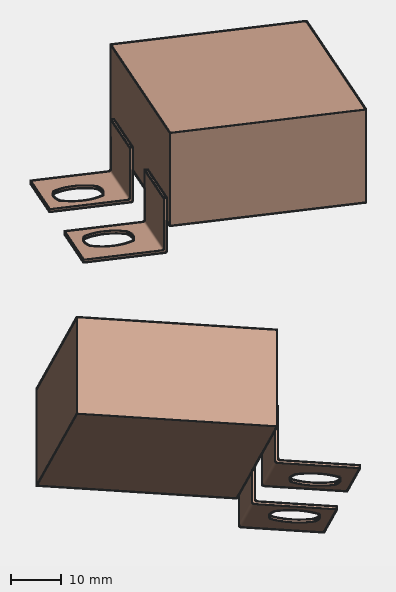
import cadquery as cq

case_width = 43.0
case_depth = 40.15
case_height = 20.25

overall_depth = 57.2
overall_height = 27.05
tab_thickness = 0.65
tab_width = 13.9
tab_height = 11.9
tab_edge_inset = 2.3
inner_bend_radius = 0.4
outer_bend_radius = 0.5

hole_width = 7.0
hole_length = 10.05
hole_corner_spacing_x = 4.45
hole_corner_spacing_y = 8.8
hole_center_offset = 11.0
hole_edge_distance = 7.45

foot_length = overall_depth - case_depth
case_bottom = overall_height - case_height
hole_y = hole_edge_distance - foot_length
tab_center_offset = case_width / 2 - tab_edge_inset - tab_width / 2


def make_case():
    """Plain block; its front face lies on Y = 0, the tab feet rest on Z = 0."""
    return (
        cq.Workplane("XY")
        .workplane(offset=case_bottom)
        .center(0, case_depth / 2)
        .rect(case_width, case_depth)
        .extrude(case_height)
    )


def make_hole_cutter(side):
    """Opening with four bowed sides, cut through the tab foot."""
    half_width = hole_width / 2
    half_length = hole_length / 2
    corner_x = hole_corner_spacing_x / 2
    corner_y = hole_corner_spacing_y / 2
    return (
        cq.Workplane("XY")
        .center(side * hole_center_offset, hole_y)
        .moveTo(-corner_x, -corner_y)
        .threePointArc((0, -half_length), (corner_x, -corner_y))
        .threePointArc((half_width, 0), (corner_x, corner_y))
        .threePointArc((0, half_length), (-corner_x, corner_y))
        .threePointArc((-half_width, 0), (-corner_x, -corner_y))
        .close()
        .extrude(tab_thickness)
    )


def make_tab(side):
    """L-shaped terminal; side is -1 for the left tab and +1 for the right tab."""
    strip = (
        cq.Workplane("YZ")
        .workplane(offset=side * tab_center_offset)
        .polyline(
            [
                (0, 0),
                (0, tab_height),
                (-tab_thickness, tab_height),
                (-tab_thickness, tab_thickness),
                (-foot_length, tab_thickness),
                (-foot_length, 0),
            ]
        )
        .close()
        .extrude(tab_width / 2, both=True)
    )
    inner_corner = cq.selectors.NearestToPointSelector(
        (side * tab_center_offset, -tab_thickness, tab_thickness)
    )
    outer_corner = cq.selectors.NearestToPointSelector((side * tab_center_offset, 0, 0))
    bent = strip.edges(inner_corner).fillet(inner_bend_radius)
    bent = bent.edges(outer_corner).fillet(outer_bend_radius)
    return bent.cut(make_hole_cutter(side))


case = make_case()
tabs = [make_tab(side) for side in (-1, 1)]

result = cq.Compound.makeCompound([case.val(), *[tab.val() for tab in tabs]])